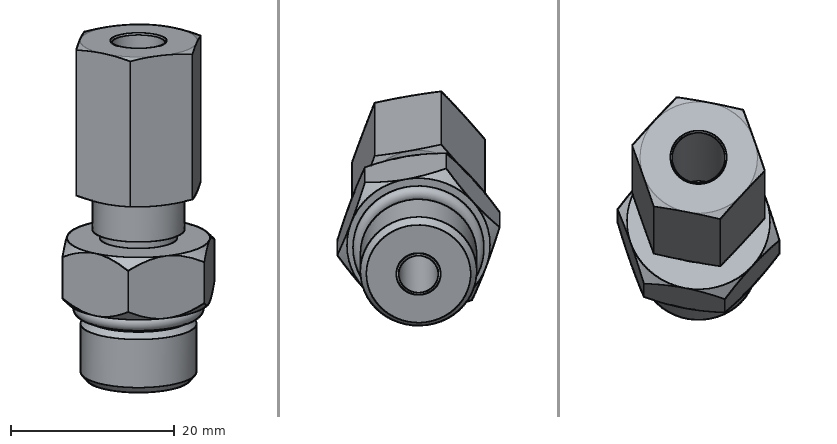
import cadquery as cq
import math

TOTAL_HEIGHT = 43.0
LIP_HEIGHT = 0.15
THREAD_CHAMFER_TOP = 1.0
THREAD_TOP = 7.1
SHOULDER_TOP = 7.82
BODY_HEX_BOTTOM = 10.05
BODY_HEX_TOP = 17.95
COLLAR_BOTTOM = 19.05
CAP_HEX_BOTTOM = 23.95

LIP_RADIUS = 2.7
THREAD_RADIUS = 7.1
THREAD_END_RADIUS = 6.35
GROOVE_RADIUS = 6.2
NECK_RADIUS = 4.73
COLLAR_RADIUS = 5.65

BODY_HEX_FLATS = 17.45
BODY_HEX_CHAMFER_ANGLE = 45.0
CAP_HEX_FLATS = 14.3
CAP_HEX_CHAMFER_ANGLE = 15.0

BORE_RADIUS = 2.4
SOCKET_RADIUS = 3.22
SOCKET_CHAMFER = 0.2
SOCKET_DEPTH = TOTAL_HEIGHT - CAP_HEX_BOTTOM

RING_OUTER_RADIUS = 8.0
RING_SECTION_RADIUS = 0.9
RING_CENTRE_RADIUS = RING_OUTER_RADIUS - RING_SECTION_RADIUS
RING_CENTRE_HEIGHT = BODY_HEX_BOTTOM - RING_SECTION_RADIUS


def revolve_profile(points):
    """Turn a closed radius-height outline about the Z axis."""
    return cq.Workplane("XZ").polyline(points).close().revolve(360, (0, 0, 0), (0, 1, 0))


def chamfered_hexagon(flats, bottom, top, chamfer_angle):
    """Hexagonal prism whose corners are cut by a cone at each end."""
    flat_radius = flats / 2
    corner_radius = flat_radius / math.cos(math.pi / 6)
    drop = (corner_radius - flat_radius) * math.tan(math.radians(chamfer_angle))
    prism = (
        cq.Workplane("XY", origin=(0, 0, bottom))
        .polygon(6, 2 * corner_radius)
        .extrude(top - bottom)
    )
    envelope = revolve_profile([
        (0, bottom),
        (flat_radius, bottom),
        (corner_radius, bottom + drop),
        (corner_radius, top - drop),
        (flat_radius, top),
        (0, top),
    ])
    return prism.intersect(envelope)


def turned_core():
    """Threaded end with a low lip around the bore, ring groove, neck and collar as one turned shape."""
    return revolve_profile([
        (0, 0),
        (LIP_RADIUS, 0),
        (LIP_RADIUS, LIP_HEIGHT),
        (THREAD_END_RADIUS, LIP_HEIGHT),
        (THREAD_RADIUS, THREAD_CHAMFER_TOP),
        (THREAD_RADIUS, THREAD_TOP),
        (THREAD_END_RADIUS, SHOULDER_TOP),
        (GROOVE_RADIUS, SHOULDER_TOP),
        (GROOVE_RADIUS, BODY_HEX_BOTTOM),
        (NECK_RADIUS, BODY_HEX_BOTTOM),
        (NECK_RADIUS, COLLAR_BOTTOM),
        (COLLAR_RADIUS, COLLAR_BOTTOM),
        (COLLAR_RADIUS, CAP_HEX_BOTTOM),
        (0, CAP_HEX_BOTTOM),
    ])


def stepped_bore():
    """Through bore, tube socket and the chamfer at the socket mouth."""
    socket_floor = TOTAL_HEIGHT - SOCKET_DEPTH
    return revolve_profile([
        (0, 0),
        (BORE_RADIUS, 0),
        (BORE_RADIUS, socket_floor),
        (SOCKET_RADIUS, socket_floor),
        (SOCKET_RADIUS, TOTAL_HEIGHT - SOCKET_CHAMFER),
        (SOCKET_RADIUS + SOCKET_CHAMFER, TOTAL_HEIGHT),
        (0, TOTAL_HEIGHT),
    ])


def make_sealing_ring():
    """Round-section ring around the groove."""
    return (
        cq.Workplane("XZ")
        .center(RING_CENTRE_RADIUS, RING_CENTRE_HEIGHT)
        .circle(RING_SECTION_RADIUS)
        .revolve(360, (-RING_CENTRE_RADIUS, 0, 0), (-RING_CENTRE_RADIUS, 1, 0))
    )


def make_fitting():
    """Screw-in fitting with both hexagons and the stepped bore."""
    body_hex = chamfered_hexagon(BODY_HEX_FLATS, BODY_HEX_BOTTOM, BODY_HEX_TOP, BODY_HEX_CHAMFER_ANGLE)
    cap_hex = chamfered_hexagon(CAP_HEX_FLATS, CAP_HEX_BOTTOM, TOTAL_HEIGHT, CAP_HEX_CHAMFER_ANGLE)
    return turned_core().union(body_hex).union(cap_hex).cut(stepped_bore())


fitting = make_fitting()
sealing_ring = make_sealing_ring()

result = cq.Compound.makeCompound([fitting.val(), sealing_ring.val()])